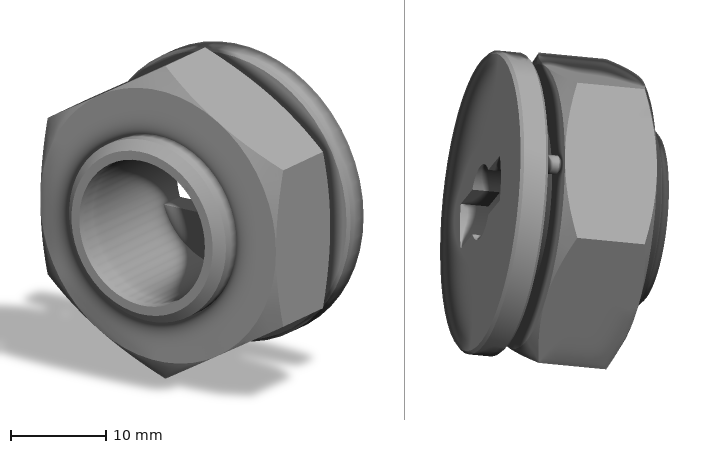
import cadquery as cq
import math

hex_corners = 34.65
hex_flats = hex_corners * math.cos(math.pi / 6)
total_length = 18.0
flange_diameter = 32.0
flange_thickness = 3.0
flange_chamfer = 0.3
barrel_diameter = 20.0
barrel_chamfer = 1.0
bore_diameter = 16.0
nut_gap = 2.0
nut_thickness = 10.0
nut_chamfer_angle = math.radians(30)
pin_diameter = 2.0
pin_offset = 13.02
pin_chamfer = 0.35
key_hole_diameter = 8.0
key_slot_width = 5.0

flange_front = total_length - flange_thickness
nut_back = flange_front - nut_gap
nut_front = nut_back - nut_thickness


def cylinder(diameter, start, end, x=0):
    """Cylinder parallel to Y between two stations."""
    plane = cq.Workplane("XZ", origin=(x, start, 0))
    return plane.circle(diameter / 2).extrude(start - end)


def make_nut():
    """Hexagon nut with corners on Z and conical chamfers on both faces."""
    hexagon = (
        cq.Workplane("XZ", origin=(0, nut_front, 0))
        .transformed(rotate=(0, 0, 90))
        .polygon(6, hex_corners)
        .extrude(-nut_thickness)
    )
    face_radius = hex_flats / 2
    corner_radius = hex_corners / 2
    chamfer_depth = (corner_radius - face_radius) * math.tan(nut_chamfer_angle)
    envelope = (
        cq.Workplane("XY")
        .moveTo(0, nut_front)
        .lineTo(face_radius, nut_front)
        .lineTo(corner_radius, nut_front + chamfer_depth)
        .lineTo(corner_radius, nut_back - chamfer_depth)
        .lineTo(face_radius, nut_back)
        .lineTo(0, nut_back)
        .close()
        .revolve(360, (0, 0, 0), (0, 1, 0))
    )
    return hexagon.intersect(envelope)


def make_key_opening():
    """Round hole with a crosswise slot that stops at the bore wall."""
    hole = cylinder(key_hole_diameter, flange_front, total_length)
    slot = cq.Workplane("XY").box(bore_diameter, 2 * total_length, key_slot_width)
    slot = slot.intersect(cylinder(bore_diameter, flange_front, total_length))
    return hole.union(slot)


flange = cylinder(flange_diameter, flange_front, total_length).edges().chamfer(flange_chamfer)
barrel = cylinder(barrel_diameter, 0, flange_front).faces("<Y").edges().chamfer(barrel_chamfer)
pin = cylinder(pin_diameter, nut_back, flange_front, -pin_offset).faces("<Y").edges().chamfer(pin_chamfer)
bore = cylinder(bore_diameter, 0, flange_front)

result = flange.union(barrel).union(make_nut()).union(pin)
result = result.cut(bore).cut(make_key_opening())